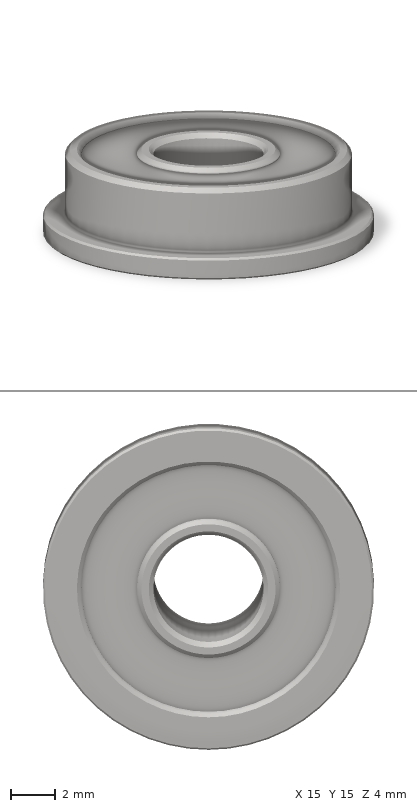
import cadquery as cq

height = 4.0
flange_diameter = 15.0
flange_thickness = 1.0
body_diameter = 13.0
recess_outer_diameter = 11.5
recess_inner_diameter = 6.5
bore_diameter = 5.0
recess_depth = 0.25
ring_chamfer = 0.21
flange_chamfer = 0.09
root_fillet = 0.1


def cylinder(diameter, length):
    return cq.Workplane("XY").circle(diameter / 2).extrude(length)


def make_body():
    """Cylindrical body with a thin flange at its foot and a fillet between them."""
    flange = cylinder(flange_diameter, flange_thickness).edges().chamfer(flange_chamfer)
    body = cylinder(body_diameter, height).faces(">Z").edges().chamfer(ring_chamfer)
    flange_top = flange.union(body).faces("|Z").faces(">Z[-2]")
    root_edge = flange_top.edges(cq.selectors.RadiusNthSelector(0))
    return root_edge.fillet(root_fillet)


def make_recess():
    """Annular shield recess below the top face, flaring out at both rims."""
    floor = height - recess_depth
    chamfer_start = height - ring_chamfer
    inner = recess_inner_diameter / 2
    outer = recess_outer_diameter / 2
    profile = [
        (inner, floor),
        (outer, floor),
        (outer, chamfer_start),
        (outer + ring_chamfer, height),
        (inner - ring_chamfer, height),
        (inner, chamfer_start),
    ]
    return cq.Workplane("XZ").polyline(profile).close().revolve(360, (0, 0), (0, 1))


bore = cylinder(bore_diameter, height)
bore_flare = (
    cq.Workplane("XY")
    .workplane(offset=height - ring_chamfer)
    .circle(bore_diameter / 2)
    .workplane(offset=ring_chamfer)
    .circle(bore_diameter / 2 + ring_chamfer)
    .loft(ruled=True)
)

result = make_body().cut(bore)
mid_height = (0, 0, height / 2)
for cutter in (make_recess(), bore_flare):
    result = result.cut(cutter).cut(cutter.mirror("XY", mid_height))